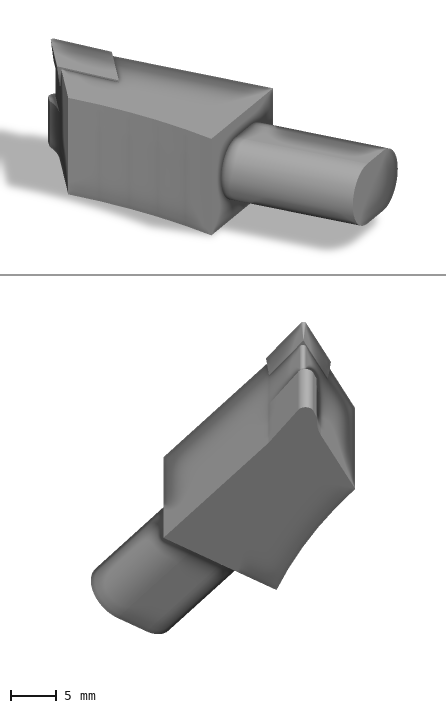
import cadquery as cq
import math

head_height = 11.5
head_rear_x = 27.3
head_back_y = 7.25
relief_end_x = 7.6
nose_corner = (0.55, 7.6)
nose_radius = 0.37
front_corner = (8.4, -5.0)
front_arc_mid = (14.8, -5.33)
front_rear_y = -7.93

total_length = 43.3
shank_height = 7.15
shank_width = 11.05

spur_height = 5.45
spur_radius = 0.9
spur_center = (1.1, 6.95)
spur_flat_angle = 220.0
spur_flat_end = (0.95, 5.55)
spur_blend_mid = (2.15, 4.6)
spur_root_y = 3.35

insert_top_z = 11.8
insert_thickness = 2.43
insert_side = 7.7
insert_nose_radius = 0.3
insert_top_y = 8.05
insert_back_angle = -3.0
insert_point_angle = 55.0
insert_relief_angle = 7.0


def polar(center, radius, angle):
    """Point at a given distance and angle in degrees from a center."""
    turn = math.radians(angle)
    return (center[0] + radius * math.cos(turn), center[1] + radius * math.sin(turn))


def leading_edge_x(y):
    """X of the slanted leading side of the holder at a given Y."""
    share = (y - front_corner[1]) / (nose_corner[1] - front_corner[1])
    return front_corner[0] + share * (nose_corner[0] - front_corner[0])


def make_insert():
    half_point = insert_point_angle / 2
    lead_angle = insert_back_angle - insert_point_angle
    nose_direction = insert_back_angle - half_point + 180
    nose_center = (insert_nose_radius, insert_top_y - insert_nose_radius)
    sharp_distance = insert_nose_radius / math.sin(math.radians(half_point))
    sharp_tip = polar(nose_center, sharp_distance, nose_direction)
    back_corner = polar(sharp_tip, insert_side, insert_back_angle)
    lead_corner = polar(sharp_tip, insert_side, lead_angle)
    far_corner = polar(back_corner, insert_side, lead_angle)
    return (
        cq.Workplane("XY", origin=(0, 0, insert_top_z))
        .moveTo(*polar(nose_center, insert_nose_radius, insert_back_angle + 90))
        .threePointArc(
            polar(nose_center, insert_nose_radius, nose_direction),
            polar(nose_center, insert_nose_radius, lead_angle - 90),
        )
        .lineTo(*lead_corner)
        .lineTo(*far_corner)
        .lineTo(*back_corner)
        .close()
        .extrude(-insert_thickness, taper=insert_relief_angle)
    )


def make_head():
    head = (
        cq.Workplane("XY")
        .moveTo(*nose_corner)
        .lineTo(*front_corner)
        .threePointArc(front_arc_mid, (head_rear_x, front_rear_y))
        .lineTo(head_rear_x, head_back_y)
        .lineTo(relief_end_x, head_back_y)
        .close()
        .extrude(head_height)
    )
    return head.edges("|Z").edges("<X").fillet(nose_radius)


def make_spur():
    flat_start = polar(spur_center, spur_radius, spur_flat_angle)
    arc_mid = polar(spur_center, spur_radius, (spur_flat_angle + 90) / 2)
    arc_top = polar(spur_center, spur_radius, 90)
    return (
        cq.Workplane("XY")
        .moveTo(*arc_top)
        .threePointArc(arc_mid, flat_start)
        .lineTo(*spur_flat_end)
        .threePointArc(spur_blend_mid, (leading_edge_x(spur_root_y), spur_root_y))
        .lineTo(relief_end_x, head_back_y)
        .close()
        .extrude(spur_height)
    )


def make_shank():
    return (
        cq.Workplane("YZ", origin=(head_rear_x, 0, head_height / 2))
        .slot2D(shank_width, shank_height)
        .extrude(total_length - head_rear_x)
    )


insert = make_insert()
holder = make_head().union(make_spur()).union(make_shank()).cut(insert)

result = cq.Compound.makeCompound([holder.solids().val(), insert.val()])